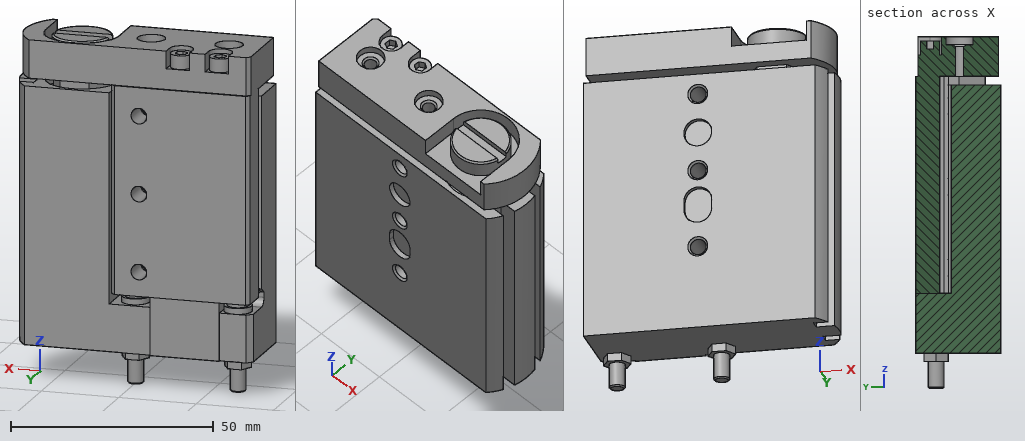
import cadquery as cq
import math


WIDTH = 62.5
LENGTH = 86.8

HOUSING_HEIGHT = 66.3
HOUSING_DEPTH = 20.5
END_ARC_X = 58.7
HOUSING_CHAMFER = 1.5
CHANNEL_WIDTH = 36.8
CHANNEL_FLOOR_Y = 12.2
LEDGE_HEIGHT = 12.2
RELIEF_TOP = 15.6
RELIEF_BOTTOM_Y = 10.2
RELIEF_RADIUS = 2.0
CORNER_NOTCH_HEIGHT = 1.3
CORNER_NOTCH_DEPTH = 0.9
PAD_LEFT_X = 8.3
PAD_RIGHT_X = 26.1
ROD_BORE_DIAMETER = 18.2
ROD_BORE_DEPTH = 2.6

SLOT_WIDTH = 2.95
SLOT_OFFSET = 5.0
SLOT_DEPTH = 5.0

HOLE_ROW_X = 29.0
HOLE_COUNT = 3
HOLE_PITCH = 20.0
FIRST_HOLE_Z = 21.2
HOLE_DIAMETER = 4.0
HOLE_MOUTH_DIAMETER = 5.0
LOCATING_DIAMETER = 7.0
LOCATING_DEPTH = 1.4
LOCATING_HOLE_Z = 51.0
LOCATING_SLOT_Z = 32.1
LOCATING_SLOT_LENGTH = 9.2

STOP_DIAMETER = 4.0
STOP_CHAMFER = 0.35
STOP_LENGTH = 8.6
STOP_SETBACK = 0.35
STOP_NUT_CORNERS = 7.0
STOP_NUT_HEIGHT = 2.0
STOP_COLLAR_DIAMETER = 7.0
STOP_COLLAR_HEIGHT = 1.5
STOP_TIP_DIAMETER = 5.5
STOPS = [
    (4.6, 16.9, STOP_LENGTH - STOP_SETBACK),
    (31.3, 16.0, STOP_LENGTH),
]

INSET = 0.5
PLATE_TOP = LENGTH - STOP_LENGTH
PLATE_BOTTOM = 68.4
PLATE_BACK_Y = 20.5
PLATE_ARC_X = 57.55
PLATE_END_X = 61.5
LEG_RIGHT_X = 36.3
LEG_FRONT_Y = 12.9
LEG_BACK_Y = 21.0
LEG_BOTTOM = 14.9
SLIDE_CHAMFER = 0.95
GROOVE_DEPTH = 1.0
GROOVE_LEFT_X = 8.1
GROOVE_STEP_X = 19.9
GROOVE_RIGHT_X = 26.1

ROD_X = 46.9
ROD_Y = 10.3
POCKET_WIDTH = 19.0
POCKET_DEPTH = 5.0
ROD_SCREW_DIAMETER = 15.0
ROD_SCREW_DROP = 0.3
ROD_SCREW_CHAMFER = 0.4
DRIVER_SLOT_WIDTH = 2.9
DRIVER_SLOT_DEPTH = 1.5
ROD_NUT_CORNERS = 15.0

CAP_SCREW_XS = [9.0, 19.1]
CAP_SCREW_Y = 17.45
CAP_NOTCH_WIDTH = 6.0
CAP_NOTCH_DEPTH = 4.5
CAP_HEAD_DIAMETER = 5.5
CAP_HEAD_DROP = 1.0
CAP_SOCKET_FLATS = 2.7
CAP_SOCKET_DEPTH = 2.0

PLATE_HOLE_XS = [9.0, 29.1]
PLATE_HOLE_Y = 10.15
PLATE_BORE_DIAMETER = 7.0
PLATE_BORE_DEPTH = 2.0
PLATE_HOLE_DIAMETER = 3.2
PLATE_HOLE_MOUTH_DIAMETER = 4.2


def box(x0, x1, y0, y1, z0, z1):
    return cq.Workplane("XY").box(x1 - x0, y1 - y0, z1 - z0, centered=False).translate((x0, y0, z0))


def cylinder(x, y, z, diameter, height):
    return cq.Workplane("XY").circle(diameter / 2).extrude(height).translate((x, y, z))


def hexagon(x, y, z, corners, height):
    return cq.Workplane("XY").polygon(6, corners).extrude(height).translate((x, y, z))


def countersunk_hole(diameter, mouth_diameter, depth):
    """Cutter along +Z from the origin, with a 45 degree countersink at the origin."""
    radius = diameter / 2
    mouth = mouth_diameter / 2
    return (
        cq.Workplane("XZ")
        .polyline([(0, 0), (mouth, 0), (radius, mouth - radius), (radius, depth), (0, depth)])
        .close()
        .revolve(360, (0, 0), (0, 1))
    )


def rounded_end_plate(x0, y0, y1, arc_x, end_x, z0, z1):
    """Plate from x0 on the left whose +X end is one arc through end_x."""
    return (
        cq.Workplane("XY")
        .moveTo(x0, y0)
        .lineTo(arc_x, y0)
        .threePointArc((end_x, (y0 + y1) / 2), (arc_x, y1))
        .lineTo(x0, y1)
        .close()
        .extrude(z1 - z0)
        .translate((0, 0, z0))
    )


def stop_relief(x0, x1):
    """Groove above the ledge that undercuts the inner corner of the channel."""
    relief = box(x0, x1, RELIEF_BOTTOM_Y, LEG_BACK_Y, LEDGE_HEIGHT, RELIEF_TOP)
    return relief.edges("|X and <Y and <Z").fillet(RELIEF_RADIUS)


def corner_notch():
    """Shallow triangular notch above the relief in the left face."""
    return (
        cq.Workplane("YZ")
        .moveTo(RELIEF_BOTTOM_Y, RELIEF_TOP)
        .lineTo(CHANNEL_FLOOR_Y, RELIEF_TOP)
        .lineTo(CHANNEL_FLOOR_Y, RELIEF_TOP + CORNER_NOTCH_HEIGHT)
        .close()
        .extrude(CORNER_NOTCH_DEPTH)
    )


def leg_channel():
    """Room for the leg above the ledge, with a relief at each end stop."""
    channel = box(0, CHANNEL_WIDTH, CHANNEL_FLOOR_Y, LEG_BACK_Y, LEDGE_HEIGHT, HOUSING_HEIGHT)
    channel = channel.union(stop_relief(0, PAD_LEFT_X)).union(stop_relief(PAD_RIGHT_X, CHANNEL_WIDTH))
    return channel.union(corner_notch())


def stop_pad():
    """Block between the two end stops, up to the underside of the leg."""
    return box(PAD_LEFT_X, PAD_RIGHT_X, CHANNEL_FLOOR_Y, LEG_BACK_Y, 0, LEG_BOTTOM)


def rod_bore():
    """Recess around the rod nut in the top of the housing."""
    return cylinder(ROD_X, ROD_Y, HOUSING_HEIGHT - ROD_BORE_DEPTH, ROD_BORE_DIAMETER, ROD_BORE_DEPTH)


def sensor_slots():
    slots = cq.Workplane("XY")
    for side in (-1, 1):
        centre = HOUSING_DEPTH / 2 + side * SLOT_OFFSET
        slots = slots.add(
            box(
                WIDTH - SLOT_DEPTH,
                WIDTH,
                centre - SLOT_WIDTH / 2,
                centre + SLOT_WIDTH / 2,
                0,
                HOUSING_HEIGHT,
            )
        )
    return slots.combine()


def mounting_holes():
    """Through holes from the mounting face, countersunk there."""
    hole = countersunk_hole(HOLE_DIAMETER, HOLE_MOUTH_DIAMETER, LEG_BACK_Y)
    hole = hole.rotate((0, 0, 0), (1, 0, 0), -90)
    holes = cq.Workplane("XY")
    for i in range(HOLE_COUNT):
        holes = holes.add(hole.translate((HOLE_ROW_X, 0, FIRST_HOLE_Z + i * HOLE_PITCH)))
    return holes.combine()


def locating_recesses():
    face = cq.Workplane("XZ")
    recess = face.center(HOLE_ROW_X, LOCATING_HOLE_Z).circle(LOCATING_DIAMETER / 2)
    recess = recess.extrude(-LOCATING_DEPTH)
    slot = face.center(HOLE_ROW_X, LOCATING_SLOT_Z)
    slot = slot.slot2D(LOCATING_SLOT_LENGTH, LOCATING_DIAMETER, 90).extrude(-LOCATING_DEPTH)
    return recess.add(slot).combine()


def end_stop(x, y, reach):
    """Stop screw with lock nut below the housing, collar and tip above the ledge."""
    screw = cylinder(x, y, -reach, STOP_DIAMETER, reach + LEDGE_HEIGHT)
    screw = screw.faces("<Z").chamfer(STOP_CHAMFER)
    nut = hexagon(x, y, -STOP_NUT_HEIGHT, STOP_NUT_CORNERS, STOP_NUT_HEIGHT)
    collar = cylinder(x, y, LEDGE_HEIGHT, STOP_COLLAR_DIAMETER, STOP_COLLAR_HEIGHT)
    tip = cylinder(x, y, LEDGE_HEIGHT, STOP_TIP_DIAMETER, LEG_BOTTOM - LEDGE_HEIGHT)
    return screw.union(nut).union(collar).union(tip)


def make_housing():
    housing = rounded_end_plate(0, 0, HOUSING_DEPTH, END_ARC_X, WIDTH, 0, HOUSING_HEIGHT)
    housing = housing.edges("|Z and <X and >Y").chamfer(HOUSING_CHAMFER)
    housing = housing.cut(leg_channel()).union(stop_pad())
    housing = housing.cut(sensor_slots()).cut(rod_bore())
    housing = housing.cut(mounting_holes()).cut(locating_recesses())
    for x, y, reach in STOPS:
        housing = housing.union(end_stop(x, y, reach))
    return housing


def end_plate():
    plate = rounded_end_plate(
        INSET, INSET, PLATE_BACK_Y, PLATE_ARC_X, PLATE_END_X, PLATE_BOTTOM, PLATE_TOP
    )
    return plate.edges("|Z and <X and >Y").chamfer(SLIDE_CHAMFER)


def leg():
    """Leg in the channel, with a stepped guide groove along its front face."""
    body = box(INSET, LEG_RIGHT_X, LEG_FRONT_Y, LEG_BACK_Y, LEG_BOTTOM, PLATE_BOTTOM)
    body = body.edges("|Z and >Y").chamfer(SLIDE_CHAMFER)
    groove_y = LEG_FRONT_Y + GROOVE_DEPTH
    groove = box(GROOVE_LEFT_X, GROOVE_RIGHT_X, LEG_FRONT_Y, groove_y, LEG_BOTTOM, PLATE_BOTTOM)
    deep_y = groove_y + GROOVE_DEPTH
    deep_groove = box(GROOVE_LEFT_X, GROOVE_STEP_X, LEG_FRONT_Y, deep_y, LEG_BOTTOM, PLATE_BOTTOM)
    return body.cut(groove).cut(deep_groove)


def rod_pocket():
    """Round pocket that opens to the front of the end plate."""
    floor = PLATE_TOP - POCKET_DEPTH
    half = POCKET_WIDTH / 2
    opening = box(ROD_X - half, ROD_X + half, 0, ROD_Y, floor, PLATE_TOP)
    return cylinder(ROD_X, ROD_Y, floor, POCKET_WIDTH, POCKET_DEPTH).union(opening)


def rod_screw():
    """Slotted screw head in the pocket."""
    height = POCKET_DEPTH - ROD_SCREW_DROP
    top = PLATE_TOP - ROD_SCREW_DROP
    head = cylinder(ROD_X, ROD_Y, PLATE_TOP - POCKET_DEPTH, ROD_SCREW_DIAMETER, height)
    head = head.faces(">Z").chamfer(ROD_SCREW_CHAMFER)
    radius = ROD_SCREW_DIAMETER / 2
    half_slot = DRIVER_SLOT_WIDTH / 2
    slot = box(
        ROD_X - radius,
        ROD_X + radius,
        ROD_Y - half_slot,
        ROD_Y + half_slot,
        top - DRIVER_SLOT_DEPTH,
        top,
    )
    return head.cut(slot)


def rod_nut():
    """Hexagon between the end plate and the floor of the rod bore."""
    bottom = HOUSING_HEIGHT - ROD_BORE_DEPTH
    return hexagon(ROD_X, ROD_Y, bottom, ROD_NUT_CORNERS, PLATE_BOTTOM - bottom)


def cap_notch(x):
    """Round notch that opens to the back of the end plate."""
    floor = PLATE_TOP - CAP_NOTCH_DEPTH
    half = CAP_NOTCH_WIDTH / 2
    opening = box(x - half, x + half, CAP_SCREW_Y, LEG_BACK_Y, floor, PLATE_TOP)
    return cylinder(x, CAP_SCREW_Y, floor, CAP_NOTCH_WIDTH, CAP_NOTCH_DEPTH).union(opening)


def cap_screw(x):
    top = PLATE_TOP - CAP_HEAD_DROP
    height = CAP_NOTCH_DEPTH - CAP_HEAD_DROP
    head = cylinder(x, CAP_SCREW_Y, top - height, CAP_HEAD_DIAMETER, height)
    corners = CAP_SOCKET_FLATS / math.cos(math.pi / 6)
    socket = hexagon(0, 0, top - CAP_SOCKET_DEPTH, corners, CAP_SOCKET_DEPTH)
    socket = socket.rotate((0, 0, 0), (0, 0, 1), 30)
    return head.cut(socket.translate((x, CAP_SCREW_Y, 0)))


def plate_hole(x):
    """Counterbored hole through the end plate, countersunk at the counterbore floor."""
    floor = PLATE_TOP - PLATE_BORE_DEPTH
    bore = cylinder(x, PLATE_HOLE_Y, floor, PLATE_BORE_DIAMETER, PLATE_BORE_DEPTH)
    hole = countersunk_hole(PLATE_HOLE_DIAMETER, PLATE_HOLE_MOUTH_DIAMETER, floor - PLATE_BOTTOM)
    hole = hole.rotate((0, 0, 0), (1, 0, 0), 180).translate((x, PLATE_HOLE_Y, floor))
    return bore.union(hole)


def make_slide():
    slide = end_plate().union(leg()).cut(mounting_holes())
    slide = slide.cut(rod_pocket()).union(rod_screw())
    for x in CAP_SCREW_XS:
        slide = slide.cut(cap_notch(x)).union(cap_screw(x))
    for x in PLATE_HOLE_XS:
        slide = slide.cut(plate_hole(x))
    return slide.union(rod_nut())


housing = make_housing()
slide = make_slide()

result = cq.Compound.makeCompound([housing.val(), slide.val()])